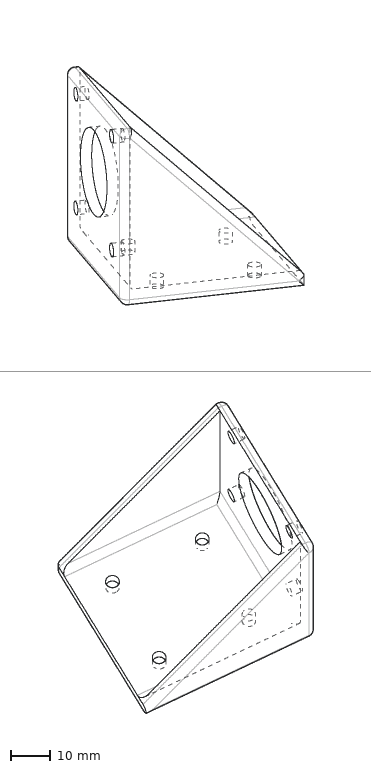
import cadquery as cq

width = 49.0
depth = 49.0
height = 48.0

wall = 3.0
edge_radius = 2.0
inner_radius = 2.0

screw_diameter = 3.5
bore_diameter = 23.0
bore_height = 28.0
motor_screw_spacing = 31.0
base_screw_spacing_x = 25.0
base_screw_spacing_y = 25.95
base_screw_front_offset = 13.0

front_y = -depth / 2
back_y = depth / 2
slope_run = depth - wall
slope_rise = height - wall


def rounded_block():
    """Outer block: round front, bottom and top sides, and +X back corner; plain back rim."""
    block = cq.Workplane("XY").box(width, depth, height, centered=(True, True, False))
    return block.edges("<Y or |Y or (|Z and >X and >Y)").fillet(edge_radius)


def sloped_envelope():
    """Prism below the sloping plane, with both sloping side edges rounded.

    The plane passes through the back of the front wall's top and the top of the floor's back.
    The prism overshoots the block along the slope and underneath it.
    """
    top = (front_y + wall - slope_run, height + slope_rise)
    bottom = (back_y + slope_run, wall - slope_rise)
    prism = (
        cq.Workplane("YZ")
        .polyline([top, bottom, (top[0], bottom[1])])
        .close()
        .extrude(width / 2, both=True)
    )
    return prism.edges("not(|X or |Y or |Z)").fillet(edge_radius)


def cavity():
    """Space between the walls, open above and behind, with the floor rounded into the walls."""
    length = 2 * depth
    space = (
        cq.Workplane("XY", origin=(0, front_y + wall + length / 2, wall))
        .box(width - 2 * wall, length, 2 * height, centered=(True, True, False))
    )
    return space.faces("<Z").edges("not >Y").fillet(inner_radius)


def motor_holes():
    """Bore and four screw holes through the front wall."""
    plane = cq.Workplane("XZ", origin=(0, front_y, bore_height))
    bore = plane.circle(bore_diameter / 2).extrude(-wall)
    screws = (
        plane.rect(motor_screw_spacing, motor_screw_spacing, forConstruction=True)
        .vertices()
        .circle(screw_diameter / 2)
        .extrude(-wall)
    )
    return bore.union(screws)


def base_holes():
    """Four screw holes through the floor."""
    center_y = front_y + base_screw_front_offset + base_screw_spacing_y / 2
    return (
        cq.Workplane("XY", origin=(0, center_y, 0))
        .rect(base_screw_spacing_x, base_screw_spacing_y, forConstruction=True)
        .vertices()
        .circle(screw_diameter / 2)
        .extrude(wall)
    )


result = (
    rounded_block()
    .intersect(sloped_envelope())
    .cut(cavity())
    .cut(motor_holes())
    .cut(base_holes())
)